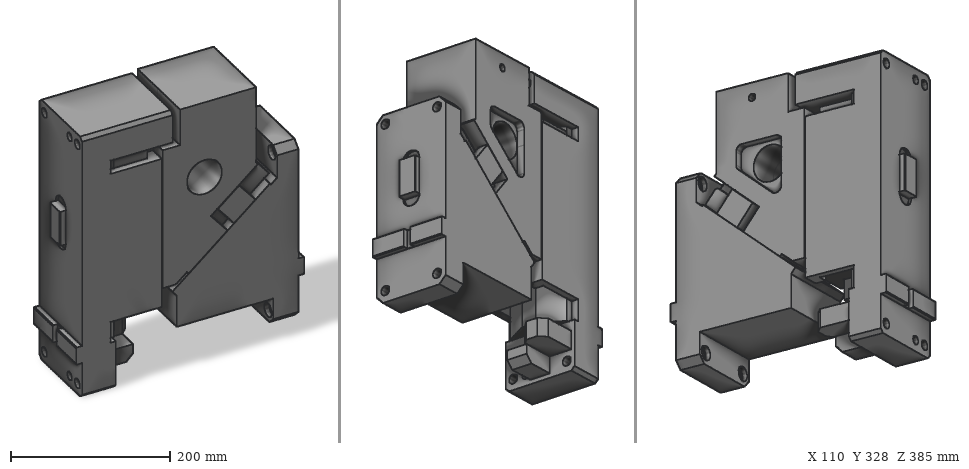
import cadquery as cq
import math


WIDTH = 110.0
HEIGHT = 385.0
HALF_WIDTH = WIDTH / 2

PAD_HEIGHT = 8.5
PAD_CHAMFER = 1.0
KEY_WIDTH = 26.0
KEY_LENGTH = 50.5
KEY_SLOT_DEPTH = 4.0
RAIL_HEIGHT = 25.5
RAIL_SPLIT = 10.5
RAIL_SPLIT_FLOOR = 1.5

BOLT_X = 42.7
BOLT_EDGE = 15.5
BOLT_RADIUS = 6.5
DOWEL_X = 22.7
DOWEL_RADIUS = 5.8

FRONT_CHAMFER = 5.0
HEAD_BACK = 130.0
HEAD_BOTTOM = 339.5
CHEEK_BACK = 114.7
CHEEK_TOP = 320.0
CHEEK_BOTTOM = 100.5
NOTCH_FLOOR = 41.2
FLANGE_BACK = 48.5
FLANGE_TOP = 69.5
FRONT_KEY_Z = 230.2
FRONT_RAIL_BOTTOM = 52.0

WAY_HALF_WIDTH = 45.0
WAY_FLOOR = 51.2
WAY_LIP = 99.5
RIDGE_TOP = 71.0
RIDGE_ANGLE = 30.0
NECK_HALF_WIDTH = 32.0

LUG_TOP = 55.0
LUG_SPLIT = 29.5
LUG_LEFT = -50.0
LUG_WIDTH = 37.5
LUG_BACK = 95.5
LUG_CHAMFER = 10.0
STUD_HALF_WIDTH = 15.5
STUD_BOTTOM = 6.0

SLIDE_FRONT = 116.0
COLUMN_FRONT = 141.0
COLUMN_BACK = 250.2
LEDGE_TOP = 332.3
SLIDE_BOTTOM = 128.0
BORE_Y = 116.3
BORE_RADIUS = 25.0
BORE_DEPTH = 50.0
OIL_HOLE_Y = 195.5
OIL_HOLE_Z = 364.5
OIL_HOLE_RADIUS = 5.0
OIL_HOLE_DEPTH = 19.2
DRILL_POINT_ANGLE = 118.0
WINDOW_FRONT = 151.0
WINDOW_BACK = 220.0
WINDOW_TOP = 305.0
WINDOW_BACK_BOTTOM = 274.0
WINDOW_CORNER = 9.0
WINDOW_DEPTH = 11.5
CROSS_HOLE_Y = 176.0
CROSS_HOLE_Z = 274.5

INCLINE_ANGLE = 40.0
INCLINE_START_Y = 277.0
INCLINE_START_Z = 241.8
TONGUE_HALF_WIDTH = 40.5
TONGUE_HEIGHT = 27.0
TONGUE_LEAD_IN = 5.0
SIDE_NOTCH_LENGTH = 88.0
SIDE_NOTCH_HEIGHT = 37.5
GIB_START = 35.8
GIB_LENGTH = 40.5
GIB_CLEARANCE = 0.58
SLIDE_RELIEF_START = 161.5
SLIDE_RELIEF = 4.0

WEDGE_BACK = 311.0
WEDGE_TOP = 285.0
WEDGE_BOTTOM = 24.0
WEDGE_CHAMFER = 10.0
UPPER_FLANGE_FRONT = 280.3
LOWER_FLANGE_FRONT = 275.0
WEDGE_FOOT_Z = 64.3
WEDGE_NOSE_Y = 136.3
WEDGE_LENGTH = 192.0
WEDGE_RELIEF = 2.5
WEDGE_RELIEF_END = 9.0
BACK_KEY_Z = 184.5
BACK_RAIL_BOTTOM = 87.5
WEDGE_BOLT_X = 41.2
WEDGE_UPPER_BOLT_EDGE = 13.5
WEDGE_LOWER_BOLT_EDGE = 16.0
COUNTERBORE_RADIUS = 9.5
COUNTERBORE_DEPTH = 7.0


def box(x0, x1, y0, y1, z0, z1):
    """Box between two corners."""
    return cq.Workplane("XY").box(x1 - x0, y1 - y0, z1 - z0, centered=False).translate((x0, y0, z0))


def side_profile(points):
    """Outline of (Y, Z) points extruded across the full width."""
    return cq.Workplane("YZ").polyline(points).close().extrude(HALF_WIDTH, both=True)


def plan_profile(points, z0, z1):
    """Outline of (X, Y) points extruded from z0 up to z1."""
    return cq.Workplane("XY").workplane(offset=z0).polyline(points).close().extrude(z1 - z0)


def cylinder_y(x, z, radius, y0, y1):
    """Cylinder along Y from y0 to y1."""
    return cq.Workplane(cq.Solid.makeCylinder(radius, y1 - y0, cq.Vector(x, y0, z), cq.Vector(0, 1, 0)))


def on_incline(along, height):
    """(Y, Z) of a point a distance down the incline and a height square to it."""
    angle = math.radians(INCLINE_ANGLE)
    y = INCLINE_START_Y - along * math.cos(angle) - height * math.sin(angle)
    z = INCLINE_START_Z - along * math.sin(angle) + height * math.cos(angle)
    return (y, z)


def incline_block(start, end, bottom, top):
    """Full-width block lying along the incline."""
    corners = [(start, bottom), (end, bottom), (end, top), (start, top)]
    return side_profile([on_incline(*corner) for corner in corners])


def outside_of(half_width):
    """The regions on both sides of a central strip of the part."""
    everything = box(-HALF_WIDTH, HALF_WIDTH, 0, WEDGE_BACK, 0, HEIGHT)
    return everything.cut(box(-half_width, half_width, 0, WEDGE_BACK, 0, HEIGHT))


def chamfered_plate(y0, y1, z0, z1, chamfer):
    """Full-width envelope whose four long edges along Y are chamfered."""
    return box(-HALF_WIDTH, HALF_WIDTH, y0, y1, z0, z1).edges("|Y").chamfer(chamfer)


def add_mounting_features(body, face_y, outward, key_z, rail_bottom):
    """Add the slotted key and the split rail to a plate; outward is -1 or 1 along Y."""
    face_name = "<Y" if outward < 0 else ">Y"
    tip_y = face_y + outward * PAD_HEIGHT
    slot_y = face_y - outward * KEY_SLOT_DEPTH
    slot = (
        cq.Workplane("XZ", origin=(0, max(face_y, slot_y), key_z))
        .slot2D(KEY_LENGTH + KEY_WIDTH, KEY_WIDTH, 90)
        .extrude(KEY_SLOT_DEPTH)
    )
    key = box(
        -KEY_WIDTH / 2, KEY_WIDTH / 2, min(slot_y, tip_y), max(slot_y, tip_y),
        key_z - KEY_LENGTH / 2, key_z + KEY_LENGTH / 2,
    )
    key = key.faces(face_name).edges("|Z").chamfer(PAD_CHAMFER)
    body = body.cut(slot)
    rail_top = rail_bottom + RAIL_HEIGHT
    rail = box(
        -HALF_WIDTH, HALF_WIDTH, min(face_y, tip_y), max(face_y, tip_y), rail_bottom, rail_top
    )
    rail = rail.faces(face_name).edges("|X").chamfer(PAD_CHAMFER)
    web_y = face_y + outward * RAIL_SPLIT_FLOOR
    split = box(
        -RAIL_SPLIT / 2, RAIL_SPLIT / 2, min(web_y, tip_y), max(web_y, tip_y), rail_bottom, rail_top
    )
    return body.union(key).union(rail.cut(split))


def ridge_outline():
    """(X, Y) outline of the tapered ridge on the floor of the guideway."""
    crest = WAY_HALF_WIDTH - (RIDGE_TOP - WAY_FLOOR) / math.tan(math.radians(RIDGE_ANGLE))
    return [
        (-WAY_HALF_WIDTH, WAY_FLOOR),
        (WAY_HALF_WIDTH, WAY_FLOOR),
        (crest, RIDGE_TOP),
        (-crest, RIDGE_TOP),
    ]


def front_lugs():
    """Chamfered lug and the narrower stud below it, behind the lower flange."""
    lug = box(LUG_LEFT, LUG_LEFT + LUG_WIDTH, FLANGE_BACK, LUG_BACK + LUG_CHAMFER, LUG_SPLIT, LUG_TOP)
    lug = lug.faces(">Y").edges("|Z").chamfer(LUG_CHAMFER)
    stud = box(-STUD_HALF_WIDTH, STUD_HALF_WIDTH, FLANGE_BACK, LUG_BACK, STUD_BOTTOM, LUG_SPLIT)
    return lug.union(stud.faces(">Y").edges("<Z").chamfer(LUG_CHAMFER))


def make_front_body():
    body = side_profile([
        (0, 0),
        (FLANGE_BACK, 0),
        (FLANGE_BACK, FLANGE_TOP),
        (NOTCH_FLOOR, FLANGE_TOP),
        (NOTCH_FLOOR, CHEEK_BOTTOM),
        (CHEEK_BACK, CHEEK_BOTTOM),
        (CHEEK_BACK, CHEEK_TOP),
        (NOTCH_FLOOR, CHEEK_TOP),
        (NOTCH_FLOOR, HEAD_BOTTOM),
        (HEAD_BACK, HEAD_BOTTOM),
        (HEAD_BACK, HEIGHT),
        (0, HEIGHT),
    ])
    body = body.intersect(chamfered_plate(0, HEAD_BACK, 0, HEIGHT, FRONT_CHAMFER))

    way = box(-WAY_HALF_WIDTH, WAY_HALF_WIDTH, WAY_FLOOR, WAY_LIP, CHEEK_BOTTOM, CHEEK_TOP)
    mouth = box(-NECK_HALF_WIDTH, NECK_HALF_WIDTH, WAY_LIP, CHEEK_BACK, CHEEK_BOTTOM, CHEEK_TOP)
    base = box(-WAY_HALF_WIDTH, WAY_HALF_WIDTH, NOTCH_FLOOR, WAY_FLOOR, FLANGE_TOP, HEAD_BOTTOM)
    ridge = plan_profile(ridge_outline(), FLANGE_TOP, HEAD_BOTTOM)
    body = body.cut(way).cut(mouth).union(base).union(ridge)

    body = body.union(front_lugs())
    body = add_mounting_features(body, 0, -1, FRONT_KEY_Z, FRONT_RAIL_BOTTOM)

    for z, end in ((BOLT_EDGE, FLANGE_BACK), (HEIGHT - BOLT_EDGE, HEAD_BACK)):
        for x, radius in ((-BOLT_X, BOLT_RADIUS), (DOWEL_X, DOWEL_RADIUS), (BOLT_X, BOLT_RADIUS)):
            body = body.cut(cylinder_y(x, z, radius, 0, end))
    return body


def front_tongue():
    """T-shaped tongue that fills the guideway and straddles its ridge."""
    head = box(-WAY_HALF_WIDTH, WAY_HALF_WIDTH, WAY_FLOOR, WAY_LIP, SLIDE_BOTTOM, LEDGE_TOP)
    neck = box(-NECK_HALF_WIDTH, NECK_HALF_WIDTH, WAY_LIP, SLIDE_FRONT, SLIDE_BOTTOM, LEDGE_TOP)
    return head.union(neck).cut(plan_profile(ridge_outline(), SLIDE_BOTTOM, LEDGE_TOP))


def side_notches():
    """Undercuts along the incline that leave a T-shaped tongue, on both sides."""
    beside_tongue = incline_block(0, SIDE_NOTCH_LENGTH, 0, SIDE_NOTCH_HEIGHT)
    beside_neck = incline_block(0, SIDE_NOTCH_LENGTH, TONGUE_HEIGHT, SIDE_NOTCH_HEIGHT)
    corner = incline_block(0, TONGUE_LEAD_IN, TONGUE_HEIGHT - TONGUE_LEAD_IN, TONGUE_HEIGHT)
    round_y, round_z = on_incline(TONGUE_LEAD_IN, TONGUE_HEIGHT - TONGUE_LEAD_IN)
    rounding = (
        cq.Workplane("YZ").center(round_y, round_z).circle(TONGUE_LEAD_IN).extrude(HALF_WIDTH, both=True)
    )
    beside_neck = beside_neck.union(corner.cut(rounding))
    wide = beside_tongue.intersect(outside_of(TONGUE_HALF_WIDTH))
    return wide.union(beside_neck.intersect(outside_of(NECK_HALF_WIDTH)))


def gibs():
    """Blocks on both flanks of the inclined tongue, flush with the sides."""
    block = incline_block(GIB_START, GIB_START + GIB_LENGTH, 0, SIDE_NOTCH_HEIGHT - GIB_CLEARANCE)
    return block.intersect(outside_of(TONGUE_HALF_WIDTH))


def window():
    """Pocket in the left side with rounded corners, its lower edge parallel to the incline."""
    drop = (WINDOW_BACK - WINDOW_FRONT) * math.tan(math.radians(INCLINE_ANGLE))
    outline = [
        (WINDOW_BACK, WINDOW_TOP),
        (WINDOW_BACK, WINDOW_BACK_BOTTOM),
        (WINDOW_FRONT, WINDOW_BACK_BOTTOM - drop),
        (WINDOW_FRONT, WINDOW_TOP),
    ]
    pocket = cq.Workplane("YZ", origin=(-HALF_WIDTH, 0, 0)).polyline(outline).close().extrude(WINDOW_DEPTH)
    return pocket.edges("|X").fillet(WINDOW_CORNER)


def oil_hole():
    """Blind drilled hole in the left side with a conical end."""
    point = OIL_HOLE_RADIUS / math.tan(math.radians(DRILL_POINT_ANGLE / 2))
    half_section = [
        (0, 0),
        (OIL_HOLE_DEPTH + point, 0),
        (OIL_HOLE_DEPTH, OIL_HOLE_RADIUS),
        (0, OIL_HOLE_RADIUS),
    ]
    hole = cq.Workplane("XY").polyline(half_section).close().revolve(360, (0, 0, 0), (1, 0, 0))
    return hole.translate((-HALF_WIDTH, OIL_HOLE_Y, OIL_HOLE_Z))


def make_slide():
    foot_back = on_incline(SLIDE_RELIEF_START, SLIDE_RELIEF)
    foot_run = (foot_back[1] - SLIDE_BOTTOM) / math.tan(math.radians(INCLINE_ANGLE))
    shoulder_height = (INCLINE_START_Y - COLUMN_BACK) / math.sin(math.radians(INCLINE_ANGLE))
    body = side_profile([
        (SLIDE_FRONT, SLIDE_BOTTOM),
        (SLIDE_FRONT, LEDGE_TOP),
        (COLUMN_FRONT, LEDGE_TOP),
        (COLUMN_FRONT, HEIGHT),
        (COLUMN_BACK, HEIGHT),
        on_incline(0, shoulder_height),
        on_incline(0, 0),
        on_incline(SLIDE_RELIEF_START, 0),
        foot_back,
        (foot_back[0] - foot_run, SLIDE_BOTTOM),
    ])
    body = body.cut(side_notches()).union(gibs()).union(front_tongue())

    bore_bottom = cq.Vector(0, BORE_Y, LEDGE_TOP - BORE_DEPTH)
    bore = cq.Solid.makeCylinder(BORE_RADIUS, HEIGHT - bore_bottom.z, bore_bottom)
    cross_hole = (
        cq.Workplane("YZ")
        .center(CROSS_HOLE_Y, CROSS_HOLE_Z)
        .circle(BORE_RADIUS)
        .extrude(HALF_WIDTH, both=True)
    )
    return body.cut(cq.Workplane(bore)).cut(window()).cut(cross_hole).cut(oil_hole())


def make_wedge():
    nose = on_incline(WEDGE_LENGTH, 0)
    nose_drop = (WEDGE_NOSE_Y - nose[0]) / math.tan(math.radians(INCLINE_ANGLE))
    body = side_profile([
        (WEDGE_BACK, WEDGE_BOTTOM),
        (WEDGE_BACK, WEDGE_TOP),
        (UPPER_FLANGE_FRONT, WEDGE_TOP),
        (UPPER_FLANGE_FRONT, INCLINE_START_Z),
        on_incline(WEDGE_RELIEF_END, -WEDGE_RELIEF),
        on_incline(WEDGE_RELIEF_END, 0),
        nose,
        (WEDGE_NOSE_Y, nose[1] - nose_drop),
        (WEDGE_NOSE_Y, WEDGE_FOOT_Z),
        (LOWER_FLANGE_FRONT, WEDGE_FOOT_Z),
        (LOWER_FLANGE_FRONT, WEDGE_BOTTOM),
    ])
    body = body.intersect(chamfered_plate(0, WEDGE_BACK, WEDGE_BOTTOM, WEDGE_TOP, WEDGE_CHAMFER))
    body = add_mounting_features(body, WEDGE_BACK, 1, BACK_KEY_Z, BACK_RAIL_BOTTOM)

    for x in (-WEDGE_BOLT_X, WEDGE_BOLT_X):
        for z, front in (
            (WEDGE_TOP - WEDGE_UPPER_BOLT_EDGE, UPPER_FLANGE_FRONT),
            (WEDGE_BOTTOM + WEDGE_LOWER_BOLT_EDGE, LOWER_FLANGE_FRONT),
        ):
            body = body.cut(cylinder_y(x, z, BOLT_RADIUS, front, WEDGE_BACK))
            body = body.cut(cylinder_y(x, z, COUNTERBORE_RADIUS, front, front + COUNTERBORE_DEPTH))
    return body


front_body = make_front_body()
slide = make_slide()
wedge = make_wedge()
result = cq.Compound.makeCompound([front_body.solids().val(), slide.solids().val(), wedge.solids().val()])